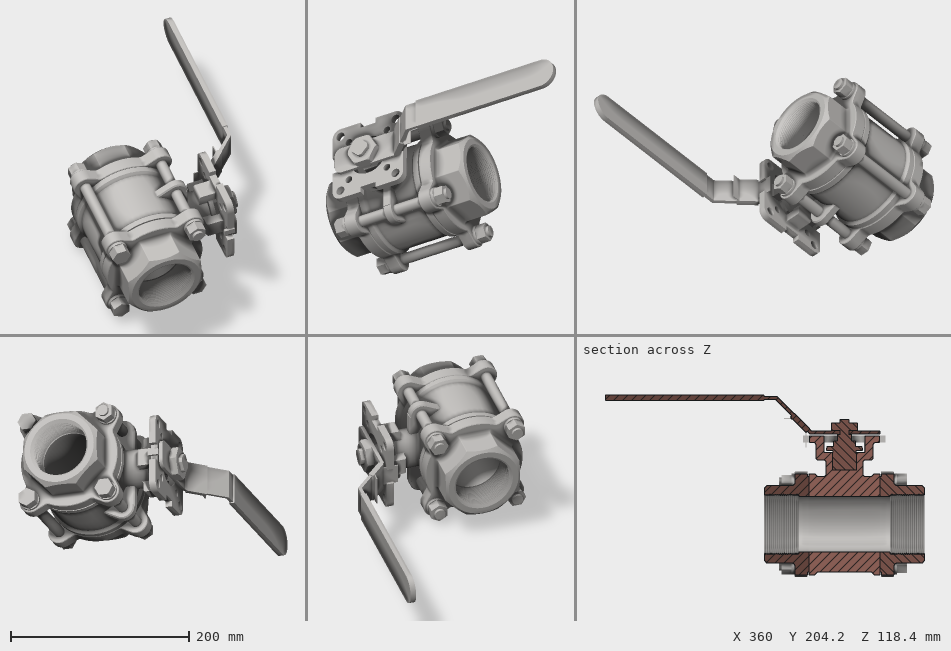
import cadquery as cq
import math


pick_margin = 0.5

half_length = 90.0
bore_d = 63.5

body_d = 108.5
flange_d = 115.0
body_end_x = 40.0
ring_x = 33.5
ring_taper = 3.2

stud_offset = 45.7
stud_d = 12.5
lug_r = 13.5
lug_flank_angle = 26.5
lug_root_fillet = 5.5
lug_chamfer = 0.7
flange_inner_x = 41.0
flange_outer_x = 55.8

octagon_width = 87.5
octagon_edge_fillet = 1.5
octagon_root_fillet = 3.2
cap_face_d = 82.5
cap_chamfer_length = 5.5

thread_crest_d = 64.8
thread_root_d = 68.8
thread_pitch = 2.0
thread_turns = 18

hex_corner_d = 21.5
washer_d = 22.0
washer_end_x = 59.0
hex_end_x = 70.2
stud_tip_x = 73.5

mid_lug_half_width = 5.0
mid_lug_chamfer = 1.5
mid_rib_top_y = 59.8

neck_d = 44.3
neck_top_y = 81.0
neck_fillet = 3.0
leg_reach = 32.5
leg_width = 19.5
leg_bottom_y = 72.0
leg_fillet = 3.0
leg_pad_fillet = 2.0
leg_neck_fillet = 2.5
gland_recess_d = 48.0
pad_bottom_y = 91.5
pad_top_y = 99.5
pad_size = 92.0
pad_corner_r = 10.5
pad_notch_width = 19.8
pad_notch_depth = 6.5
outer_hole_d, outer_hole_offset = 10.5, 36.0
inner_hole_d, inner_hole_offset = 8.5, 25.0

stem_d = 30.0
stem_bottom_y = 61.2
gland_disc_d = 44.0
gland_bottom_y = 82.8
gland_step_y = 85.5
gland_top_d = 42.5
gland_top_y = 88.0
gland_nut_corner_d = 33.0
gland_nut_top_y = 93.5
shoulder_d = 21.5
square_width = 17.5
square_corner_d = 20.5
stem_top_y = 118.0
stem_nut_corner_d = 37.8
stem_nut_top_y = 113.8
stem_nut_chamfer = 1.5

lever_thickness = 4.0
lever_width = 32.5
foot_bottom_y = 101.0
foot_end_x = 40.0
foot_corner_r = 8.5
knee_x = -76.0
arm_top_y = 143.5
arm_end_x = -93.5
grip_end_x = -270.0
grip_start_x = -90.0
grip_top_y = 145.0
grip_bottom_y = 138.5
grip_width = 34.5

clip_above = 0.7
clip_below = 1.62
clip_top_x = -57.0
clip_bottom_x = -39.2
tab_end_x = -67.5
tab_bottom_y = 118.0
tab_thickness = 1.0
tongue_x = -43.2
tongue_thickness = 1.0
tongue_width = 23.0
tongue_neck_width = 18.7
tongue_end_y = 85.5

stop_root_x = 37.8
stop_inner_x = 40.5
stop_outer_x = 43.5
stop_width = 7.2
stop_end_y = 89.0
stop_top_gap = 0.5


def box_between(x_range, y_range, width):
    """Box between two X and two Y values, centred on Z = 0."""
    x0, x1 = x_range
    y0, y1 = y_range
    return cq.Workplane("XY").box(x1 - x0, y1 - y0, width).translate(((x0 + x1) / 2, (y0 + y1) / 2, 0))


def level(y):
    """Workplane at height y that faces +Y, with X along X."""
    return cq.Workplane(cq.Plane(origin=(0, y, 0), xDir=(1, 0, 0), normal=(0, 1, 0)))


def disc(diameter, y0, y1):
    return level(y0).circle(diameter / 2).extrude(y1 - y0)


def rod(diameter, x0, x1):
    return cq.Workplane("YZ").workplane(offset=x0).circle(diameter / 2).extrude(x1 - x0)


def lug(angle, x0, x1):
    """Tapered stud lug that points outward at an angle from +Y about the bore axis."""
    centre = stud_offset * math.sqrt(2)
    lean = math.radians(45 - lug_flank_angle)
    tangent_x = centre + lug_r * math.sin(lean)
    tangent_y = lug_r * math.cos(lean)
    root_x = body_d / 2 - lug_r
    root_y = tangent_y + (tangent_x - root_x) * math.tan(lean)
    shape = (
        cq.Workplane("YZ").workplane(offset=x0)
        .moveTo(root_x, -root_y)
        .lineTo(tangent_x, -tangent_y)
        .threePointArc((centre + lug_r, 0), (tangent_x, tangent_y))
        .lineTo(root_x, root_y)
        .close()
        .extrude(x1 - x0)
    )
    return shape.rotate((0, 0, 0), (1, 0, 0), angle)


def stud_hole(angle):
    hole = rod(stud_d, -half_length, half_length).translate((0, stud_offset * math.sqrt(2), 0))
    return hole.rotate((0, 0, 0), (1, 0, 0), angle)



def make_barrel():
    half_profile = [
        (-body_end_x, 0),
        (-body_end_x, flange_d / 2),
        (-ring_x, flange_d / 2),
        (-ring_x + ring_taper, body_d / 2),
        (ring_x - ring_taper, body_d / 2),
        (ring_x, flange_d / 2),
        (body_end_x, flange_d / 2),
        (body_end_x, 0),
    ]
    return cq.Workplane("XY").polyline(half_profile).close().revolve(360, (0, 0, 0), (1, 0, 0))


def add_neck(barrel):
    joined = barrel.union(disc(neck_d, 0, neck_top_y))
    reach = neck_d / 2 + pick_margin
    joint = cq.selectors.BoxSelector(
        (-reach, body_d / 4, -reach), (reach, flange_d / 2, reach), boundingbox=True
    )
    return joined.edges(joint).fillet(neck_fillet)


def make_bracket():
    """Four legs in a cross, which carry the mounting pad above the neck."""
    leg_pair = level(leg_bottom_y).rect(2 * leg_reach, leg_width).extrude(pad_bottom_y - leg_bottom_y)
    leg_pair = leg_pair.faces("<Y").edges("|Z").fillet(leg_fillet)
    legs = leg_pair.union(leg_pair.rotate((0, 0, 0), (0, 1, 0), 90))
    bracket = legs.union(make_pad())
    pad_joints = [
        edge for edge in bracket.edges().vals()
        if abs(edge.Center().y - pad_bottom_y) < pick_margin
        and abs(math.hypot(edge.Center().x, edge.Center().z) - leg_reach) < pick_margin
    ]
    return bracket.newObject(pad_joints).fillet(leg_pad_fillet)


def fillet_legs_to_neck(body):
    """Round the curved edges where the undersides of the legs meet the neck."""
    joints = [
        edge for edge in body.edges("%CIRCLE").vals()
        if abs(edge.Center().y - leg_bottom_y) < pick_margin
    ]
    return body.newObject(joints).fillet(leg_neck_fillet)


def make_pad():
    thickness = pad_top_y - pad_bottom_y
    pad = level(pad_bottom_y).rect(pad_size, pad_size).extrude(thickness)
    pad = pad.edges("|Y").fillet(pad_corner_r)
    notch_centre = pad_size / 2
    notches = (
        level(pad_bottom_y)
        .pushPoints([(-notch_centre, 0), (notch_centre, 0)])
        .rect(2 * pad_notch_depth, pad_notch_width)
        .pushPoints([(0, -notch_centre), (0, notch_centre)])
        .rect(pad_notch_width, 2 * pad_notch_depth)
        .extrude(thickness)
    )
    pad = pad.cut(notches)
    for diameter, offset in ((outer_hole_d, outer_hole_offset), (inner_hole_d, inner_hole_offset)):
        holes = (
            level(pad_bottom_y)
            .rect(2 * offset, 2 * offset, forConstruction=True)
            .vertices()
            .circle(diameter / 2)
            .extrude(thickness)
        )
        pad = pad.cut(holes)
    return pad


def make_mid_lugs():
    """Lugs at mid-length on both sides of the neck, each with a flat rib that runs to the neck."""
    lugs = cq.Workplane("XY")
    for side in (-1, 1):
        one = lug(side * 45, -mid_lug_half_width, mid_lug_half_width)
        rib = box_between(
            (-mid_lug_half_width, mid_lug_half_width), (body_d / 4, mid_rib_top_y), stud_offset
        ).translate((0, 0, side * stud_offset / 2))
        one = one.union(rib).faces("<X or >X").edges().chamfer(mid_lug_chamfer)
        lugs = lugs.union(one)
    return lugs


def make_body():
    body = add_neck(make_barrel())
    body = fillet_legs_to_neck(body.union(make_bracket()))
    body = body.union(make_mid_lugs())
    body = body.cut(rod(bore_d, -body_end_x, body_end_x))
    body = body.cut(disc(gland_recess_d, neck_top_y, pad_top_y))
    body = body.cut(disc(stem_d, stem_bottom_y, neck_top_y))
    for side in (-1, 1):
        body = body.cut(stud_hole(side * 45))
    return body



def make_cap_flange():
    flange = rod(flange_d, flange_inner_x, flange_outer_x)
    for quarter in range(4):
        flange = flange.union(lug(45 + 90 * quarter, flange_inner_x, flange_outer_x))
    root_limit = flange_d / 2 + pick_margin
    roots = [
        edge for edge in flange.edges("|X").vals()
        if min(abs(edge.Center().y), abs(edge.Center().z)) > pick_margin
        and math.hypot(edge.Center().y, edge.Center().z) < root_limit
    ]
    flange = flange.newObject(roots).fillet(lug_root_fillet)
    return flange.faces("<X or >X").edges().chamfer(lug_chamfer)


def make_octagon():
    """Octagonal end with rounded edges and a conical chamfer at its face."""
    corner_d = octagon_width / math.cos(math.pi / 8)
    octagon = (
        cq.Workplane("YZ").workplane(offset=flange_outer_x)
        .transformed(rotate=(0, 0, 22.5))
        .polygon(8, corner_d)
        .extrude(half_length - flange_outer_x)
        .edges("|X").fillet(octagon_edge_fillet)
    )
    cone = (
        cq.Workplane("XY")
        .moveTo(flange_outer_x, 0)
        .lineTo(flange_outer_x, corner_d / 2)
        .lineTo(half_length - cap_chamfer_length, corner_d / 2)
        .lineTo(half_length, cap_face_d / 2)
        .lineTo(half_length, 0)
        .close()
        .revolve(360, (0, 0, 0), (1, 0, 0))
    )
    return octagon.intersect(cone)


def make_thread():
    """Threaded hole: equal V rings that start at the cap face."""
    points = [(half_length, 0), (half_length, thread_root_d / 2)]
    for turn in range(thread_turns):
        root_x = half_length - turn * thread_pitch
        points.append((root_x - thread_pitch / 2, thread_crest_d / 2))
        points.append((root_x - thread_pitch, thread_root_d / 2))
    points.append((points[-1][0], 0))
    return cq.Workplane("XY").polyline(points).close().revolve(360, (0, 0, 0), (1, 0, 0))


def make_cap():
    """Cap for the +X end."""
    cap = make_cap_flange().union(make_octagon())
    reach = octagon_width / 2 + octagon_root_fillet
    joint = cq.selectors.BoxSelector(
        (flange_outer_x - pick_margin, -reach, -reach), (flange_outer_x + pick_margin, reach, reach)
    )
    cap = cap.edges(joint).fillet(octagon_root_fillet)
    cap = cap.union(rod(body_d, body_end_x, flange_inner_x))
    cap = cap.cut(rod(bore_d, body_end_x, half_length)).cut(make_thread())
    for quarter in range(4):
        cap = cap.cut(stud_hole(45 + 90 * quarter))
    return cap



def make_hex(x0, x1, angle):
    return (
        cq.Workplane("YZ").workplane(offset=x0)
        .transformed(rotate=(0, 0, angle))
        .polygon(6, hex_corner_d)
        .extrude(x1 - x0)
    )


def make_stud(y_side, z_side):
    """Stud with its washers and hexagons. Hexagons on neighbouring corners are a quarter turn apart."""
    both_ends_stand_out = y_side > 0 and z_side > 0
    right_end_x = stud_tip_x if both_ends_stand_out else hex_end_x
    left_angle = 0 if y_side * z_side > 0 else 90
    stud = rod(stud_d, -stud_tip_x, right_end_x)
    stud = stud.union(rod(washer_d, -washer_end_x, -flange_outer_x))
    stud = stud.union(rod(washer_d, flange_outer_x, washer_end_x))
    stud = stud.union(make_hex(-hex_end_x, -washer_end_x, left_angle))
    stud = stud.union(make_hex(washer_end_x, hex_end_x, 90 - left_angle))
    return stud.translate((0, y_side * stud_offset, z_side * stud_offset))



def make_square(y0, y1):
    """Square drive with its corners along X and Z cut round."""
    square = level(y0).transformed(rotate=(0, 0, 45)).rect(square_width, square_width).extrude(y1 - y0)
    return square.intersect(disc(square_corner_d, y0, y1))


def make_stem():
    foot_top_y = foot_bottom_y + lever_thickness
    stem = disc(stem_d, stem_bottom_y, gland_bottom_y)
    stem = stem.union(disc(gland_disc_d, gland_bottom_y, gland_step_y))
    stem = stem.union(disc(gland_top_d, gland_step_y, gland_top_y))
    gland_nut = level(gland_top_y).polygon(6, gland_nut_corner_d).extrude(gland_nut_top_y - gland_top_y)
    stem = stem.union(gland_nut)
    stem = stem.union(disc(shoulder_d, gland_nut_top_y, foot_bottom_y))
    stem = stem.union(make_square(foot_bottom_y, stem_top_y))
    nut = level(foot_top_y).polygon(6, stem_nut_corner_d).extrude(stem_nut_top_y - foot_top_y)
    nut_rounding = disc(stem_nut_corner_d, foot_top_y, stem_nut_top_y).edges().chamfer(stem_nut_chamfer)
    return stem.union(nut.intersect(nut_rounding))



def slope_point(x, depth):
    """Point at a depth square to the 45-degree lever slope, below the slope's top surface at x."""
    shift = depth * math.sqrt(0.5)
    return (x - shift, arm_top_y - (x - knee_x) - shift)


def make_lever_strip():
    foot_top_y = foot_bottom_y + lever_thickness
    foot_knee_x = knee_x + arm_top_y - foot_top_y
    bend_shift = lever_thickness * math.tan(math.pi / 8)
    outline = [
        (arm_end_x, arm_top_y),
        (knee_x, arm_top_y),
        (foot_knee_x, foot_top_y),
        (foot_end_x, foot_top_y),
        (foot_end_x, foot_bottom_y),
        (foot_knee_x - bend_shift, foot_bottom_y),
        (knee_x - bend_shift, arm_top_y - lever_thickness),
        (arm_end_x, arm_top_y - lever_thickness),
    ]
    strip = cq.Workplane("XY").polyline(outline).close().extrude(lever_width / 2, both=True)
    return strip.faces(">X").edges("|Y").fillet(foot_corner_r)


def make_grip():
    grip = box_between((grip_end_x, grip_start_x), (grip_bottom_y, grip_top_y), grip_width)
    end_rounding = disc(grip_width, grip_bottom_y, grip_top_y).translate((grip_end_x + grip_width / 2, 0, 0))
    straight = box_between(
        (grip_end_x + grip_width / 2, grip_start_x), (grip_bottom_y, grip_top_y), grip_width
    )
    return grip.intersect(end_rounding.union(straight))


def make_clip():
    bottom_depth = lever_thickness + clip_below
    wrap_corner = slope_point(clip_top_x, bottom_depth)
    tab_root_x = wrap_corner[0] + wrap_corner[1] - tab_bottom_y
    wrap = [
        slope_point(clip_top_x, -clip_above),
        slope_point(clip_bottom_x, -clip_above),
        slope_point(clip_bottom_x, bottom_depth),
        wrap_corner,
    ]
    clip = cq.Workplane("XY").polyline(wrap).close().extrude(grip_width / 2, both=True)
    tab = box_between(
        (tab_end_x, tab_root_x),
        (tab_bottom_y, tab_bottom_y + tab_thickness),
        grip_width,
    )
    tongue_top_y = foot_bottom_y + lever_thickness
    tongue_range = (tongue_x, tongue_x + tongue_thickness)
    tongue = box_between(tongue_range, (tongue_end_y, pad_bottom_y), tongue_width)
    tongue = tongue.union(box_between(tongue_range, (pad_bottom_y, pad_top_y), tongue_neck_width))
    tongue = tongue.union(box_between(tongue_range, (pad_top_y, tongue_top_y), tongue_width))
    return clip.union(tab).union(tongue)


def make_stop():
    root = box_between((stop_root_x, stop_outer_x), (pad_top_y + stop_top_gap, foot_bottom_y), stop_width)
    finger = box_between((stop_inner_x, stop_outer_x), (stop_end_y, foot_bottom_y), stop_width)
    return root.union(finger)


def make_lever():
    lever = make_lever_strip().union(make_grip()).union(make_clip()).union(make_stop())
    return lever.cut(make_square(foot_bottom_y, foot_bottom_y + lever_thickness))



body = make_body()
right_cap = make_cap()
left_cap = right_cap.mirror("YZ")
studs = [make_stud(y_side, z_side) for y_side in (-1, 1) for z_side in (-1, 1)]
stem = make_stem()
lever = make_lever()

result = cq.Compound.makeCompound(
    [body.val(), right_cap.val(), left_cap.val(), *[stud.val() for stud in studs], stem.val(), lever.val()]
)